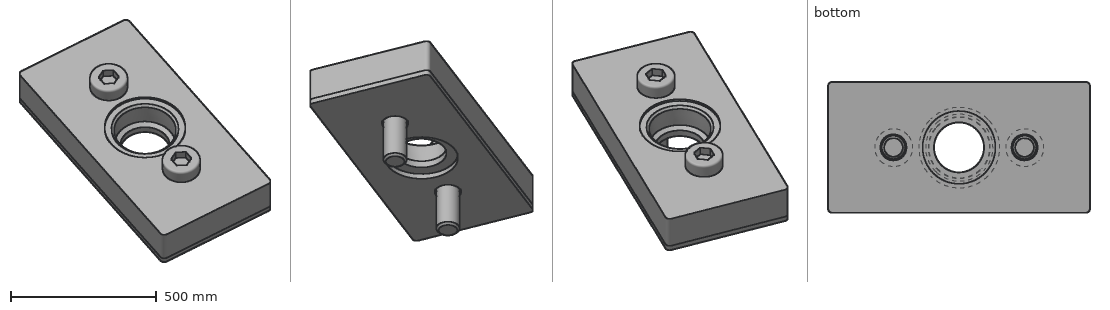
import cadquery as cq
import math

LENGTH = 900.0
WIDTH = 450.0
CORNER_RADIUS = 15.0
BASE_THICKNESS = 20.0
TOTAL_THICKNESS = 141.0
BLOCK_THICKNESS = TOTAL_THICKNESS - BASE_THICKNESS

RECESS_DIAMETER = 277.0
RECESS_DEPTH = 8.0
MOUTH_DIAMETER = 230.0
SEAT_TOP_DIAMETER = 212.0
SEAT_BOTTOM_DIAMETER = 209.0
SEAT_TOP_DEPTH = 16.0
SEAT_BOTTOM_DEPTH = 87.0
BORE_DIAMETER = 171.0
BORE_TOP_DEPTH = 95.0
BASE_OPENING_DIAMETER = 250.0

SCREW_SPACING = 450.0
SCREW_HOLE_DIAMETER = 90.0
SHANK_DIAMETER = 80.0
SHANK_PROJECTION = 159.0
SHANK_CHAMFER = 8.0
HEAD_DIAMETER = 130.0
HEAD_HEIGHT = 49.5
HEAD_FILLET = 8.0
SOCKET_ACROSS_FLATS = 60.0
SOCKET_DEPTH = 30.0

SCREW_CENTRES = [(-SCREW_SPACING / 2, 0), (SCREW_SPACING / 2, 0)]


def make_slab(bottom, thickness):
    """Rounded rectangular slab pierced by the screw clearance holes."""
    slab = (
        cq.Workplane("XY")
        .workplane(offset=bottom)
        .rect(LENGTH, WIDTH)
        .extrude(thickness)
        .edges("|Z")
        .fillet(CORNER_RADIUS)
    )
    holes = (
        cq.Workplane("XY")
        .workplane(offset=bottom)
        .pushPoints(SCREW_CENTRES)
        .circle(SCREW_HOLE_DIAMETER / 2)
        .extrude(thickness)
    )
    return slab.cut(holes)


def make_central_opening():
    """Revolved void: shallow recess, bevelled mouth, slightly tapered seat, cone and bore."""
    top = TOTAL_THICKNESS
    recess_floor = top - RECESS_DEPTH
    bore_radius = BORE_DIAMETER / 2
    return (
        cq.Workplane("XZ")
        .moveTo(0, top)
        .lineTo(RECESS_DIAMETER / 2, top)
        .lineTo(RECESS_DIAMETER / 2, recess_floor)
        .lineTo(MOUTH_DIAMETER / 2, recess_floor)
        .lineTo(SEAT_TOP_DIAMETER / 2, top - SEAT_TOP_DEPTH)
        .lineTo(SEAT_BOTTOM_DIAMETER / 2, top - SEAT_BOTTOM_DEPTH)
        .lineTo(bore_radius, top - BORE_TOP_DEPTH)
        .lineTo(bore_radius, BASE_THICKNESS)
        .lineTo(0, BASE_THICKNESS)
        .close()
        .revolve(360, (0, 0, 0), (0, 1, 0))
    )


def make_block():
    """Upper block with the stepped central opening."""
    return make_slab(BASE_THICKNESS, BLOCK_THICKNESS).cut(make_central_opening())


def make_base_plate():
    """Thin plate under the block, with a plain round opening."""
    opening = cq.Workplane("XY").circle(BASE_OPENING_DIAMETER / 2).extrude(BASE_THICKNESS)
    return make_slab(0, BASE_THICKNESS).cut(opening)


def make_screw(centre):
    """Socket head screw whose head rests on top of the block."""
    shank = (
        cq.Workplane("XY")
        .workplane(offset=-SHANK_PROJECTION)
        .circle(SHANK_DIAMETER / 2)
        .extrude(SHANK_PROJECTION + TOTAL_THICKNESS)
        .faces("<Z")
        .chamfer(SHANK_CHAMFER)
    )
    head = (
        cq.Workplane("XY")
        .workplane(offset=TOTAL_THICKNESS)
        .circle(HEAD_DIAMETER / 2)
        .extrude(HEAD_HEIGHT)
        .faces(">Z")
        .edges()
        .fillet(HEAD_FILLET)
    )
    across_corners = SOCKET_ACROSS_FLATS / math.cos(math.pi / 6)
    socket = (
        cq.Workplane("XY")
        .workplane(offset=TOTAL_THICKNESS + HEAD_HEIGHT)
        .polygon(6, across_corners)
        .extrude(-SOCKET_DEPTH)
    )
    return shank.union(head).cut(socket).translate((*centre, 0))


block = make_block()
base_plate = make_base_plate()
screws = [make_screw(centre) for centre in SCREW_CENTRES]

result = cq.Compound.makeCompound(
    [block.val(), base_plate.val(), *[screw.val() for screw in screws]]
)